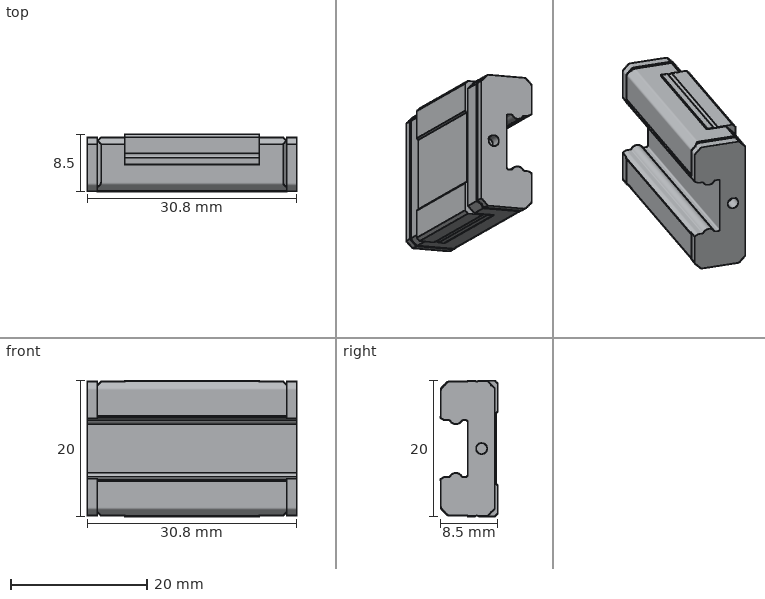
import cadquery as cq
import math

length = 30.8
total_depth = 8.5
total_height = 20.0

body_half_height = 9.85
body_back = 8.05
block_face = 0.2
cap_face = 0.1
corner_chamfer = 1.02
corner_fillet = 0.5

cap_thickness = 1.5
block_length = length - 2 * cap_thickness
end_bevel = 0.52
hole_diameter = 1.63
hole_depth = 2.45
hole_y = 6.1

channel_floor = 4.05
channel_half_height = 4.15
channel_fillet = 0.25
rib_y = 2.3
rib_radius = 1.0
rib_tip_z = 3.57
rib_foot_fillet = 0.25
lip_inner_y = 0.6
lip_tip_z = 4.53
lip_flat = 0.1
lip_fillet = 0.5

pad_length = 19.77
pad_half_height = total_height / 2
pad_front = 4.0
pad_back_chamfer = 0.45
pad_front_chamfer = 0.1
recess_half_height = 5.45
recess_depth = 0.25

groove_y = 5.4
groove_radius = 0.5
groove_depth = 0.12


def centred_box(size_x, y_min, y_max, half_height):
    """Box centred on X and Z, reaching from y_min to y_max."""
    box = cq.Workplane("XY").box(size_x, y_max - y_min, 2 * half_height)
    return box.translate((0, (y_min + y_max) / 2, 0))


def along_x(outline, size_x):
    """Extrude a Y-Z outline symmetrically about X = 0."""
    return outline.extrude(size_x / 2, both=True)


def edges_between(y_min, y_max):
    """Selector for edges whose centres lie between two Y values."""
    return cq.selectors.BoxSelector(
        (-length, y_min, -total_height),
        (length, y_max, total_height),
    )


def make_bar(size_x, face_y):
    """Bar with four chamfered long edges; the front chamfers blend into their neighbours."""
    bar = centred_box(size_x, face_y, body_back, body_half_height)
    bar = bar.edges("|X").chamfer(corner_chamfer)
    front_edges = edges_between(face_y - corner_chamfer, face_y + 2 * corner_chamfer)
    return bar.edges("|X").edges(front_edges).fillet(corner_fillet)


def make_block():
    """Bar with bevelled ends and a blunt 45 degree lip on each side of the channel mouth."""
    envelope = centred_box(block_length, 0, body_back, body_half_height)
    envelope = envelope.faces("<X or >X").edges("not <Y").chamfer(end_bevel)
    block = make_bar(block_length, block_face).intersect(envelope)
    for side in (1, -1):
        lip_root_z = side * (lip_tip_z + lip_flat + block_face)
        lip = cq.Workplane("YZ").polyline([
            (lip_inner_y, side * channel_half_height),
            (0, side * lip_tip_z),
            (0, side * (lip_tip_z + lip_flat)),
            (block_face, lip_root_z),
            (lip_inner_y, lip_root_z),
        ]).close()
        block = block.union(along_x(lip, block_length))
    return block


def make_pad():
    """Pad with chamfered edges, a wide recess in its back and a groove at top and bottom."""
    pad = centred_box(pad_length, pad_front, total_depth, pad_half_height)
    pad = pad.edges("|X and >Y").chamfer(pad_back_chamfer)
    pad = pad.edges("|X and <Y").chamfer(pad_front_chamfer)
    recess_floor_half = recess_half_height - recess_depth
    recess = cq.Workplane("YZ").polyline([
        (total_depth, -recess_half_height),
        (total_depth - recess_depth, -recess_floor_half),
        (total_depth - recess_depth, recess_floor_half),
        (total_depth, recess_half_height),
    ]).close()
    pad = pad.cut(along_x(recess, pad_length))
    groove_z = pad_half_height - groove_depth + groove_radius
    groove_centres = [(groove_y, groove_z), (groove_y, -groove_z)]
    grooves = cq.Workplane("YZ").pushPoints(groove_centres).circle(groove_radius)
    return pad.cut(along_x(grooves, pad_length))


def make_channel():
    """Channel cutter, with a round rib left standing on each side wall."""
    rib_z = rib_tip_z + rib_radius
    foot_offset = math.sqrt(rib_radius**2 - (rib_z - channel_half_height) ** 2)
    rib_back = rib_y + foot_offset
    rib_front = rib_y - foot_offset
    outline = (
        cq.Workplane("YZ")
        .moveTo(0, -lip_tip_z)
        .lineTo(lip_inner_y, -channel_half_height)
        .lineTo(rib_front, -channel_half_height)
        .threePointArc((rib_y, -rib_tip_z), (rib_back, -channel_half_height))
        .lineTo(channel_floor, -channel_half_height)
        .lineTo(channel_floor, channel_half_height)
        .lineTo(rib_back, channel_half_height)
        .threePointArc((rib_y, rib_tip_z), (rib_front, channel_half_height))
        .lineTo(lip_inner_y, channel_half_height)
        .lineTo(0, lip_tip_z)
        .close()
    )
    channel = along_x(outline, length)
    rib_feet = edges_between(rib_front - rib_foot_fillet, rib_back + rib_foot_fillet)
    channel = channel.edges("|X and >Y").fillet(channel_fillet)
    channel = channel.edges("|X").edges(rib_feet).fillet(rib_foot_fillet)
    lip_edges = edges_between(lip_inner_y / 2, lip_inner_y + lip_fillet / 2)
    return channel.edges("|X").edges(lip_edges).fillet(lip_fillet)


result = make_block().union(make_pad())
cap = make_bar(cap_thickness, cap_face)
hole = along_x(cq.Workplane("YZ").center(hole_y, 0).circle(hole_diameter / 2), hole_depth)
for side in (-1, 1):
    result = result.union(cap.translate((side * (length - cap_thickness) / 2, 0, 0)))
    result = result.cut(hole.translate((side * (length - hole_depth) / 2, 0, 0)))
result = result.cut(make_channel())